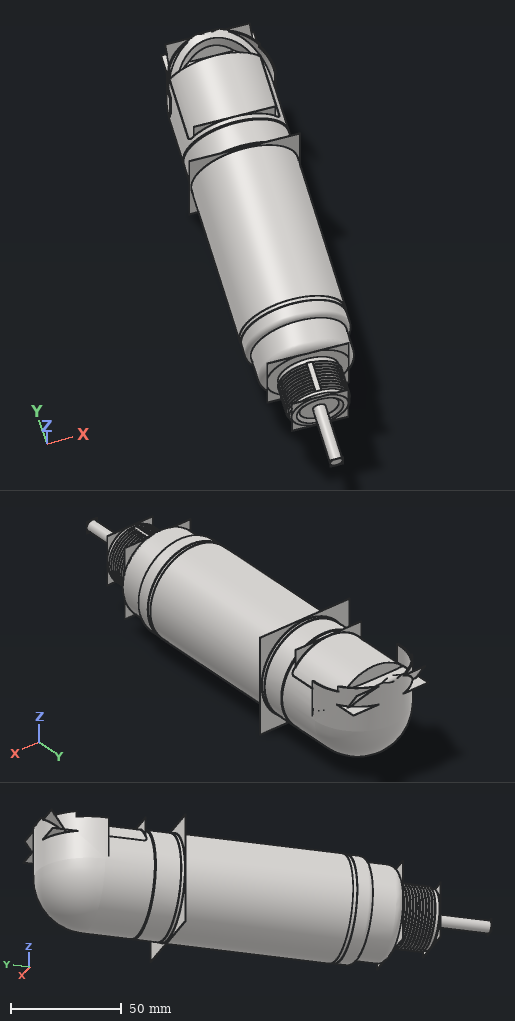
import cadquery as cq

TOTAL_LENGTH = 214.8

THREAD_END = 27.3
FIRST_RIDGE = 30.0
SHOULDER_FACE = 47.0
STEP_FACE = 62.5
SLEEVE_START = 72.6
SLEEVE_END = 152.0

BODY_RADIUS = 25.0
SLEEVE_RADIUS = 25.1
SHOULDER_RADIUS = 22.5
THREAD_RADIUS = 15.0
THREAD_ROOT_RADIUS = 14.2
CABLE_RADIUS = 3.0

SHOULDER_ROUND = 4.3
STEP_ROUND = BODY_RADIUS - SHOULDER_RADIUS
THREAD_CHAMFER = 1.0

RIDGE_COUNT = 10
RIDGE_PITCH = 1.5
RIDGE_WIDTH = 1.3
KEYWAY_WIDTH = 2.8
GLAND_MOUTH_RADIUS = 11.0
GLAND_FLOOR_RADIUS = 9.2
GLAND_DEPTH = 1.5

GROOVE_DEPTH = 0.2
GROOVES = [
    (70.5, 0.2),
    (153.8, 0.2),
    (165.9, 0.6),
]

PLATE_THICKNESS = 0.2
SLEEVE_PLATE_SIDE = 52.0
SHOULDER_PLATE_SIDE = 38.2
THREAD_PLATE_SIDE = 26.5

ELBOW_AXIS = TOTAL_LENGTH - BODY_RADIUS
CREST_RADIUS = 2.1
SKIRT_THICKNESS = 0.6
SKIRT_HEIGHT = 20.2
SKIRT_FRONT_HEIGHT = 23.0
SKIRT_STEP = 202.4
SKIRT_OVERHANG = 1.7

PANEL_START = 168.9
PANEL_END = 201.3
PANEL_EDGE_HEIGHT = 12.7
PANEL_CORNER_RADIUS = 1.7
PANEL_DEPTH = 0.2
PANEL_FENCE_WIDTH = 38.2

OPENING_RADIUS = 20.2
OPENING_FLOOR = 13.3
SLOPE_FOOT = 207.0
SLOPE_TOP = 213.8
SLOPE_TOP_HEIGHT = 23.0
LENS_RADIUS = 13.7
LENS_CENTER = 191.9
LENS_HEIGHT = 0.6

FLOOR_LEAF_WIDTH = 43.6
SLOPE_LEAF_WIDTH = 39.7

CUT_REACH = 32.2


def disc(radius, start, end):
    """Cylinder about the Y axis between two stations."""
    return cq.Workplane("XZ", origin=(0, start, 0)).circle(radius).extrude(start - end)


def block(width, start, end, bottom, top):
    """Box centred on X, given by its Y and Z limits."""
    return (
        cq.Workplane("XY", origin=(0, (start + end) / 2, bottom))
        .rect(width, end - start)
        .extrude(top - bottom)
    )


def upright(radius, bottom, top, center=ELBOW_AXIS):
    """Vertical cylinder on the centre plane of the part."""
    return cq.Workplane("XY", origin=(0, center, bottom)).circle(radius).extrude(top - bottom)


def square_plate(side, start):
    """Thin square plate across the axis, its lower face at the given station."""
    return block(side, start, start + PLATE_THICKNESS, -side / 2, side / 2)


def make_barrel():
    """Turned body from the thread end up to the elbow axis."""
    return (
        cq.Workplane("XY")
        .moveTo(0, THREAD_END)
        .lineTo(THREAD_ROOT_RADIUS - THREAD_CHAMFER, THREAD_END)
        .lineTo(THREAD_ROOT_RADIUS, THREAD_END + THREAD_CHAMFER)
        .lineTo(THREAD_ROOT_RADIUS, SHOULDER_FACE)
        .lineTo(SHOULDER_RADIUS - SHOULDER_ROUND, SHOULDER_FACE)
        .radiusArc((SHOULDER_RADIUS, SHOULDER_FACE + SHOULDER_ROUND), -SHOULDER_ROUND)
        .lineTo(SHOULDER_RADIUS, STEP_FACE)
        .radiusArc((BODY_RADIUS, STEP_FACE + STEP_ROUND), -STEP_ROUND)
        .lineTo(BODY_RADIUS, SLEEVE_START)
        .lineTo(SLEEVE_RADIUS, SLEEVE_START)
        .lineTo(SLEEVE_RADIUS, SLEEVE_END)
        .lineTo(BODY_RADIUS, SLEEVE_END)
        .lineTo(BODY_RADIUS, ELBOW_AXIS)
        .lineTo(0, ELBOW_AXIS)
        .close()
        .revolve(360, (0, 0), (0, 1))
    )


def make_ridge(start):
    """One V-shaped thread ridge, rooted in the thread core."""
    core = THREAD_ROOT_RADIUS / 2
    return (
        cq.Workplane("XY")
        .moveTo(core, start)
        .lineTo(THREAD_ROOT_RADIUS, start)
        .lineTo(THREAD_RADIUS, start + RIDGE_WIDTH / 2)
        .lineTo(THREAD_ROOT_RADIUS, start + RIDGE_WIDTH)
        .lineTo(core, start + RIDGE_WIDTH)
        .close()
        .revolve(360, (0, 0), (0, 1))
    )


def make_gland_recess():
    """Conical recess in the thread end, where the cable leaves."""
    return (
        cq.Workplane("XY")
        .moveTo(0, THREAD_END)
        .lineTo(GLAND_MOUTH_RADIUS, THREAD_END)
        .lineTo(GLAND_FLOOR_RADIUS, THREAD_END + GLAND_DEPTH)
        .lineTo(0, THREAD_END + GLAND_DEPTH)
        .close()
        .revolve(360, (0, 0), (0, 1))
    )


def make_ring_groove(start, width):
    """Shallow ring that cuts a groove into the body."""
    ring = disc(CUT_REACH, start, start + width)
    return ring.cut(disc(BODY_RADIUS - GROOVE_DEPTH, start, start + width))


def make_elbow():
    """Head end: spherical below, two crossing cylinders above, with a rounded crest."""
    lower = cq.Workplane("XY", origin=(0, ELBOW_AXIS, 0)).sphere(BODY_RADIUS)
    envelope = (
        block(2 * CUT_REACH, ELBOW_AXIS, TOTAL_LENGTH, 0, BODY_RADIUS)
        .edges(">Y and >Z")
        .fillet(CREST_RADIUS)
    )
    upper = (
        disc(BODY_RADIUS, ELBOW_AXIS, TOTAL_LENGTH)
        .intersect(upright(BODY_RADIUS, 0, BODY_RADIUS))
        .intersect(envelope)
    )
    return lower.union(upper)


def make_skirt():
    """Thin upright wall around the head end, with a step in its top edge."""
    wall = upright(BODY_RADIUS, 0, SKIRT_FRONT_HEIGHT)
    wall = wall.cut(upright(BODY_RADIUS - SKIRT_THICKNESS, 0, SKIRT_FRONT_HEIGHT))
    low_part = block(2 * CUT_REACH, ELBOW_AXIS - SKIRT_OVERHANG, SKIRT_STEP, 0, SKIRT_HEIGHT)
    high_part = block(2 * CUT_REACH, SKIRT_STEP, TOTAL_LENGTH, 0, SKIRT_FRONT_HEIGHT)
    return wall.intersect(low_part.union(high_part))


def make_panel_recess():
    """Shallow curved recess over the top of the head, with rounded corners."""
    area = (
        block(2 * CUT_REACH, PANEL_START, PANEL_END, PANEL_EDGE_HEIGHT, CUT_REACH)
        .edges("<Y and <Z")
        .fillet(PANEL_CORNER_RADIUS)
    )
    return area.cut(disc(BODY_RADIUS - PANEL_DEPTH, PANEL_START, PANEL_END))


def make_panel_fence():
    """Thin upright plate along the lower edge of the panel."""
    return block(
        PANEL_FENCE_WIDTH, PANEL_START, PANEL_START + PLATE_THICKNESS, PANEL_EDGE_HEIGHT, BODY_RADIUS
    )


def make_opening():
    """Pocket inside the crest, open at the top, with a sloping front face."""
    profile = (
        cq.Workplane("YZ", origin=(-CUT_REACH, 0, 0))
        .moveTo(PANEL_END, OPENING_FLOOR)
        .lineTo(SLOPE_FOOT, OPENING_FLOOR)
        .lineTo(SLOPE_TOP, SLOPE_TOP_HEIGHT)
        .lineTo(SLOPE_TOP, CUT_REACH)
        .lineTo(PANEL_END, CUT_REACH)
        .close()
        .extrude(2 * CUT_REACH)
    )
    return profile.intersect(upright(OPENING_RADIUS, 0, CUT_REACH))


def make_lens():
    """Low round lens on the floor of the opening."""
    lens = upright(LENS_RADIUS, OPENING_FLOOR - LENS_HEIGHT, OPENING_FLOOR + LENS_HEIGHT, LENS_CENTER)
    return lens.intersect(block(2 * CUT_REACH, PANEL_END, SLOPE_FOOT, 0, CUT_REACH))


def make_floor_leaf():
    return block(
        FLOOR_LEAF_WIDTH, PANEL_END, SLOPE_TOP, OPENING_FLOOR - PLATE_THICKNESS, OPENING_FLOOR
    )


def make_slope_leaf():
    return (
        cq.Workplane("YZ", origin=(-SLOPE_LEAF_WIDTH / 2, 0, 0))
        .moveTo(SLOPE_FOOT, OPENING_FLOOR)
        .lineTo(SLOPE_TOP, SLOPE_TOP_HEIGHT)
        .lineTo(SLOPE_TOP, SLOPE_TOP_HEIGHT - PLATE_THICKNESS)
        .lineTo(SLOPE_FOOT, OPENING_FLOOR - PLATE_THICKNESS)
        .close()
        .extrude(SLOPE_LEAF_WIDTH)
    )


def make_housing():
    housing = make_barrel().union(make_elbow())
    housing = housing.cut(make_panel_recess())
    for start, width in GROOVES:
        housing = housing.cut(make_ring_groove(start, width))

    for index in range(RIDGE_COUNT):
        housing = housing.union(make_ridge(FIRST_RIDGE + index * RIDGE_PITCH))
    thread_top = FIRST_RIDGE + RIDGE_COUNT * RIDGE_PITCH
    housing = housing.cut(
        block(KEYWAY_WIDTH, FIRST_RIDGE, thread_top, THREAD_ROOT_RADIUS - GROOVE_DEPTH, CUT_REACH)
    )

    housing = housing.union(square_plate(SLEEVE_PLATE_SIDE, SLEEVE_END))
    housing = housing.union(square_plate(SHOULDER_PLATE_SIDE, SHOULDER_FACE))
    housing = housing.union(square_plate(THREAD_PLATE_SIDE, THREAD_END))
    housing = housing.cut(make_gland_recess())

    housing = housing.union(make_skirt()).union(make_panel_fence())
    housing = housing.cut(make_opening()).union(make_lens())
    return housing.union(make_floor_leaf()).union(make_slope_leaf())


def make_cable():
    """Round cable standing on the gland floor, with a thin square tip."""
    cable = disc(CABLE_RADIUS, 0, THREAD_END + GLAND_DEPTH)
    return cable.union(square_plate(2 * CABLE_RADIUS, 0))


housing = make_housing()
cable = make_cable()

result = cq.Compound.makeCompound([housing.val(), cable.val()])